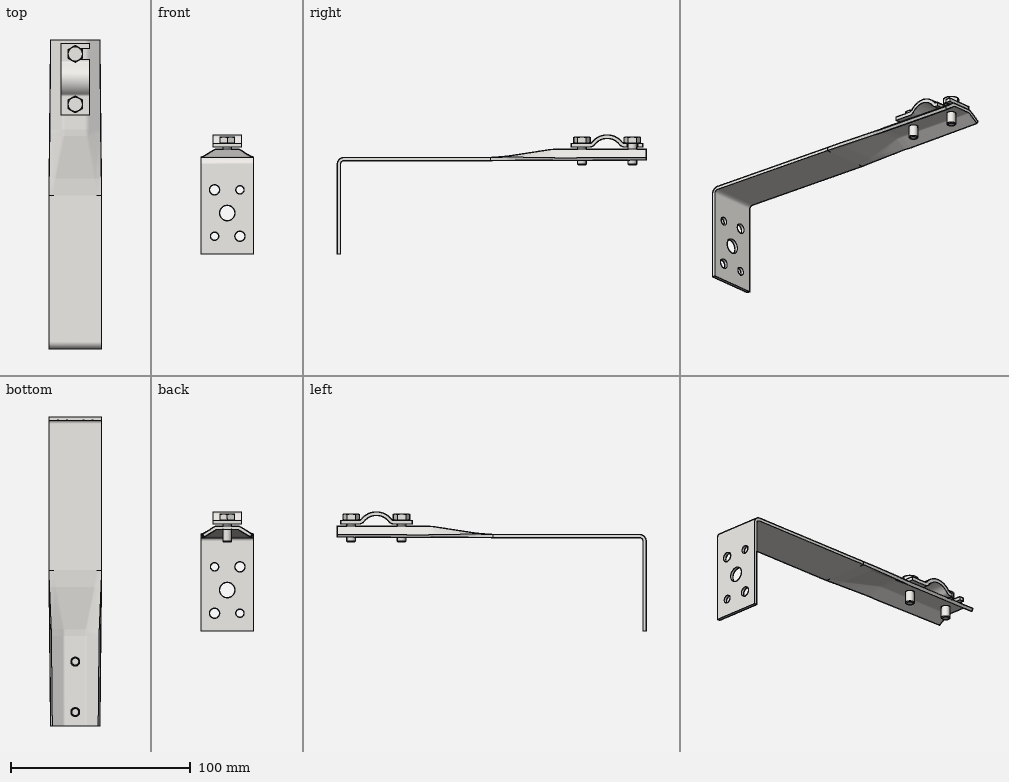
import cadquery as cq
import math


total_length = 172.3
width = 29.5
sheet = 1.9
inner_bend_radius = 2.0
outer_bend_radius = inner_bend_radius + sheet
arm_top_z = 54.0

center_hole_z = 23.0
hole_offset_x = 7.0
hole_offset_z = 13.0
center_hole_diameter = 8.5
large_hole_diameter = 5.5
small_hole_diameter = 4.5

channel_rise = 4.7
flat_end_y = 85.5
ramp_start_y = 95.0
ramp_end_y = 118.5
channel_start_y = 122.2

flat_end_half_top = 12.2
flat_end_angle = 0.1
ramp_start_half_top = 10.7
ramp_start_angle = 10
ramp_start_half_width = 14.6
ramp_end_half_top = 5.7
ramp_end_angle = 30
channel_half_top = 5.5
channel_angle = 33
channel_start_half_width = 14.3
channel_end_half_width = 13.8

clamp_length = 40.0
clamp_width = 16.0
clamp_thickness = 2.0
clamp_y = 150.4
clamp_bottom_z = 59.6
clamp_top_z = clamp_bottom_z + clamp_thickness
overall_height = 66.5
arch_outer_radius = 10.7
arch_foot_radius = 1.9
clamp_hole_diameter = 6.2

bolt_spacing = 28.0
front_bolt_y = clamp_y - bolt_spacing / 2
rear_bolt_y = clamp_y + bolt_spacing / 2
bolt_diameter = 5.0
bolt_tip_z = 49.8
bolt_tip_chamfer = 0.5
head_across_flats = 8.1
head_top_z = 65.3
washer_face_height = 0.3
head_top_circle = 8.0
head_chamfer_angle = 30


def straight_part():
    """Mounting leg and flat arm, joined by a rounded bend."""
    profile = (
        cq.Workplane("YZ")
        .moveTo(0, 0)
        .lineTo(0, arm_top_z - outer_bend_radius)
        .radiusArc((outer_bend_radius, arm_top_z), outer_bend_radius)
        .lineTo(flat_end_y, arm_top_z)
        .lineTo(flat_end_y, arm_top_z - sheet)
        .lineTo(outer_bend_radius, arm_top_z - sheet)
        .radiusArc((sheet, arm_top_z - outer_bend_radius), -inner_bend_radius)
        .lineTo(sheet, 0)
        .close()
    )
    return profile.extrude(width / 2, both=True)


def channel_section(y, rise, half_top, bend_angle, half_width):
    """Wire of the sheet at one place along the arm: a flat top with two flanges folded down."""
    angle = math.radians(bend_angle)
    top_z = arm_top_z + rise
    bend_center_z = top_z - outer_bend_radius

    def on_bend(radius, turn):
        return (half_top + radius * math.sin(turn), bend_center_z + radius * math.cos(turn))

    bend_end = on_bend(outer_bend_radius, angle)
    outer_edge = (half_width, bend_end[1] - (half_width - bend_end[0]) * math.tan(angle))
    inner_edge = (
        outer_edge[0] - sheet * math.sin(angle),
        outer_edge[1] - sheet * math.cos(angle),
    )
    right_side = [
        on_bend(outer_bend_radius, 0),
        on_bend(outer_bend_radius, angle / 2),
        bend_end,
        outer_edge,
        inner_edge,
        on_bend(inner_bend_radius, angle),
        on_bend(inner_bend_radius, angle / 2),
        on_bend(inner_bend_radius, 0),
    ]
    right = [cq.Vector(x, y, z) for x, z in right_side]
    left = [cq.Vector(-x, y, z) for x, z in right_side]
    line = cq.Edge.makeLine
    arc = cq.Edge.makeThreePointArc
    return cq.Wire.assembleEdges(
        [
            line(left[0], right[0]),
            arc(*right[0:3]),
            line(right[2], right[3]),
            line(right[3], right[4]),
            line(right[4], right[5]),
            arc(*right[5:8]),
            line(right[7], left[7]),
            arc(left[7], left[6], left[5]),
            line(left[5], left[4]),
            line(left[4], left[3]),
            line(left[3], left[2]),
            arc(left[2], left[1], left[0]),
        ]
    )


def raised_channel():
    """Ramp that rises from the flat arm and the folded channel behind it."""
    ramp_run = (channel_start_y + ramp_end_y - ramp_start_y - flat_end_y) / 2
    slope = channel_rise / ramp_run
    rise_at_start = slope * (ramp_start_y - flat_end_y) / 2
    rise_at_end = channel_rise - slope * (channel_start_y - ramp_end_y) / 2
    sections = [
        channel_section(flat_end_y, 0, flat_end_half_top, flat_end_angle, width / 2),
        channel_section(
            ramp_start_y, rise_at_start, ramp_start_half_top, ramp_start_angle, ramp_start_half_width
        ),
        channel_section(
            ramp_end_y, rise_at_end, ramp_end_half_top, ramp_end_angle, channel_start_half_width
        ),
        channel_section(
            channel_start_y, channel_rise, channel_half_top, channel_angle, channel_start_half_width
        ),
        channel_section(
            total_length, channel_rise, channel_half_top, channel_angle, channel_end_half_width
        ),
    ]
    return cq.Workplane(cq.Solid.makeLoft(sections, True))


def upright_cylinder(y, diameter, bottom_z, top_z):
    return cq.Workplane("XY", origin=(0, y, bottom_z)).circle(diameter / 2).extrude(top_z - bottom_z)


def leg_holes():
    """Cutters for the five mounting holes."""
    holes = [
        (0, 0, center_hole_diameter),
        (-hole_offset_x, hole_offset_z, large_hole_diameter),
        (hole_offset_x, -hole_offset_z, large_hole_diameter),
        (hole_offset_x, hole_offset_z, small_hole_diameter),
        (-hole_offset_x, -hole_offset_z, small_hole_diameter),
    ]
    cutters = cq.Workplane("XZ")
    for x, dz, diameter in holes:
        cutters = cutters.moveTo(x, center_hole_z + dz).circle(diameter / 2)
    return cutters.extrude(-sheet)


def make_bracket():
    bracket = straight_part().union(raised_channel()).cut(leg_holes())
    for y in (front_bolt_y, rear_bolt_y):
        bracket = bracket.cut(upright_cylinder(y, bolt_diameter, bolt_tip_z, clamp_bottom_z))
    return bracket


def make_clamp():
    """Strap with an arch between two flat feet, one of them slotted open to the +X side."""
    rise = overall_height - clamp_top_z
    arch_angle = math.acos(1 - rise / (arch_outer_radius + arch_foot_radius))
    half_span = (arch_outer_radius + arch_foot_radius) * math.sin(arch_angle)
    arch_center_z = overall_height - arch_outer_radius
    arch_inner_radius = arch_outer_radius - clamp_thickness
    foot_outer_radius = arch_foot_radius + clamp_thickness

    def on_arch(radius, side):
        return (
            clamp_y + side * radius * math.sin(arch_angle),
            arch_center_z + radius * math.cos(arch_angle),
        )

    front_y = clamp_y - clamp_length / 2
    rear_y = clamp_y + clamp_length / 2
    clamp = (
        cq.Workplane("YZ")
        .moveTo(front_y, clamp_top_z)
        .lineTo(clamp_y - half_span, clamp_top_z)
        .radiusArc(on_arch(arch_outer_radius, -1), -arch_foot_radius)
        .radiusArc(on_arch(arch_outer_radius, 1), arch_outer_radius)
        .radiusArc((clamp_y + half_span, clamp_top_z), -arch_foot_radius)
        .lineTo(rear_y, clamp_top_z)
        .lineTo(rear_y, clamp_bottom_z)
        .lineTo(clamp_y + half_span, clamp_bottom_z)
        .radiusArc(on_arch(arch_inner_radius, 1), foot_outer_radius)
        .radiusArc(on_arch(arch_inner_radius, -1), -arch_inner_radius)
        .radiusArc((clamp_y - half_span, clamp_bottom_z), foot_outer_radius)
        .lineTo(front_y, clamp_bottom_z)
        .close()
        .extrude(clamp_width / 2, both=True)
    )
    for y in (front_bolt_y, rear_bolt_y):
        clamp = clamp.cut(upright_cylinder(y, clamp_hole_diameter, clamp_bottom_z, clamp_top_z))
    slot = cq.Workplane("XY").box(
        clamp_width / 2, clamp_hole_diameter, clamp_thickness, centered=(False, True, False)
    )
    return clamp.cut(slot.translate((0, rear_bolt_y, clamp_bottom_z)))


def make_bolt(y):
    """Hexagon bolt with a chamfered head, a washer face and a chamfered tip."""
    hex_bottom_z = clamp_top_z + washer_face_height
    head_height = head_top_z - hex_bottom_z
    across_corners = head_across_flats / math.cos(math.pi / 6)
    head = (
        cq.Workplane("XY", origin=(0, y, hex_bottom_z))
        .transformed(rotate=(0, 0, 90))
        .polygon(6, across_corners)
        .extrude(head_height)
    )
    chamfer_width = (across_corners - head_top_circle) / 2
    chamfer_height = chamfer_width * math.tan(math.radians(head_chamfer_angle))
    corner_rounding = (
        cq.Workplane("XY", origin=(0, y, hex_bottom_z))
        .circle(across_corners / 2)
        .extrude(head_height)
        .faces(">Z")
        .chamfer(chamfer_height, chamfer_width)
    )
    washer_face = upright_cylinder(y, head_across_flats, clamp_top_z, hex_bottom_z)
    shank = upright_cylinder(y, bolt_diameter, bolt_tip_z, clamp_top_z)
    shank = shank.faces("<Z").chamfer(bolt_tip_chamfer)
    return head.intersect(corner_rounding).union(washer_face).union(shank)


bracket = make_bracket()
clamp = make_clamp()
bolts = [make_bolt(y) for y in (front_bolt_y, rear_bolt_y)]

result = cq.Compound.makeCompound([bracket.val(), clamp.val(), *[bolt.val() for bolt in bolts]])